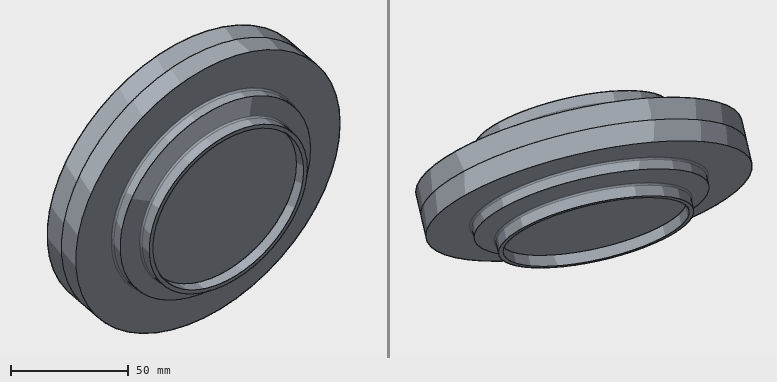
import cadquery as cq

flange_radius = 71.0
flange_thickness = 10.0
hub_radius = 51.1
hub_end = 15.0
cone_end = 18.5
collar_radius = 42.5
collar_end = 24.0
bore_radius = 40.5
bore_depth = 5.0
root_fillet = 0.9
neck_fillet = 1.0


def circle_at(body, x_position, radius):
    """Pick the circular edge of a body with the given axial position and radius."""
    tolerance = 0.001
    return body.edges("%CIRCLE").filter(
        lambda edge: abs(edge.Center().x - x_position) < tolerance
        and abs(edge.radius() - radius) < tolerance
    )


def weld_neck_flange():
    """Flange on the +X side of the mating face, with a blind bore in its collar."""
    blank = (
        cq.Workplane("XY")
        .polyline([
            (0, 0),
            (0, flange_radius),
            (flange_thickness, flange_radius),
            (flange_thickness, hub_radius),
            (hub_end, hub_radius),
            (cone_end, collar_radius),
            (collar_end, collar_radius),
            (collar_end, 0),
        ])
        .close()
        .revolve(360, (0, 0, 0), (1, 0, 0))
    )
    blank = circle_at(blank, flange_thickness, hub_radius).fillet(root_fillet)
    blank = circle_at(blank, cone_end, collar_radius).fillet(neck_fillet)
    bore = (
        cq.Workplane("YZ")
        .workplane(offset=collar_end - bore_depth)
        .circle(bore_radius)
        .extrude(bore_depth)
    )
    return blank.cut(bore)


right_flange = weld_neck_flange()
left_flange = right_flange.mirror("YZ")

result = cq.Compound.makeCompound([right_flange.val(), left_flange.val()])